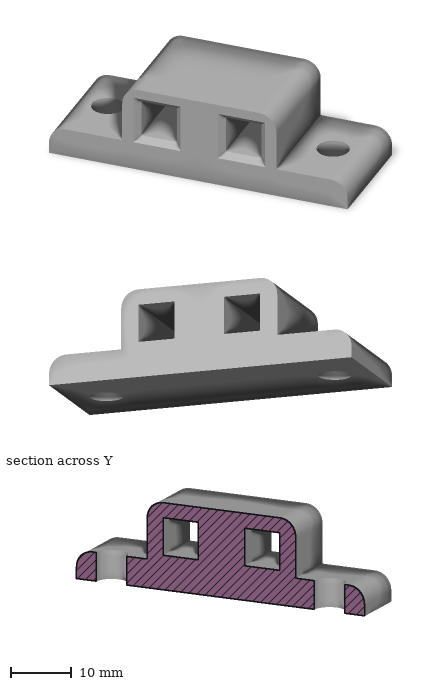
import cadquery as cq

length = 53.0
depth = 20.0
base_height = 5.0
edge_radius = 3.0

screw_diameter = 5.5
screw_spacing = 40.0

mouth_size = 8.35
flare = 1.0
passage_size = mouth_size - 2 * flare
passage_spacing = 15.0
passage_center_z = base_height + mouth_size / 2

height = 15.0
housing_start = 13.0
side_wall = 2.0
housing_width = passage_spacing + mouth_size + 2 * side_wall
first_passage_x = housing_start + side_wall + mouth_size / 2


def rounded_top_block(start_x, width, block_height):
    """Full-depth block standing on Z = 0 with its two top edges along Y rounded."""
    block = cq.Workplane("XY").box(width, depth, block_height, centered=False)
    return block.edges("|Y and >Z").fillet(edge_radius).translate((start_x, 0, 0))


def screw_hole(x):
    """Vertical cylinder through the base at mid depth."""
    return cq.Workplane("XY").center(x, depth / 2).circle(screw_diameter / 2).extrude(base_height)


def passage(x):
    """Square tunnel along Y that flares at 45 degrees to a wider mouth at the front."""
    front_plane = cq.Workplane("XZ").center(x, passage_center_z)
    tunnel = front_plane.rect(passage_size, passage_size).extrude(-depth)
    mouth = (
        front_plane.rect(mouth_size, mouth_size)
        .workplane(offset=-flare)
        .rect(passage_size, passage_size)
        .loft(ruled=True)
    )
    return tunnel.union(mouth)


base = rounded_top_block(0, length, base_height)
housing = rounded_top_block(housing_start, housing_width, height)
result = base.union(housing)

for side in (-1, 1):
    result = result.cut(screw_hole(length / 2 + side * screw_spacing / 2))

for index in range(2):
    result = result.cut(passage(first_passage_x + index * passage_spacing))